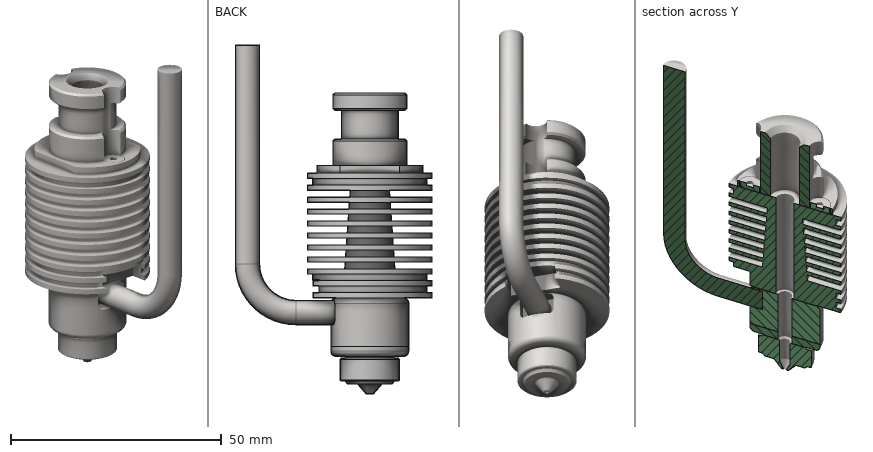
import cadquery as cq
import math


total_height = 82.6
total_width = 46.7

orifice_radius = 0.25
tip_radius = 0.9
cone_radius = 2.9
cone_top = 2.3
step_bottom_radius = 5.3
step_top_radius = 5.8
nozzle_bottom = 3.0
nozzle_top = 8.4
nozzle_radius = 7.0
nozzle_edge_chamfer = 0.25
nozzle_bore_radius = 1.3
nozzle_bore_bottom = 2.3

block_radius = 9.25
block_edge_fillet = 1.3
lid_bottom = 8.8
lid_top = 11.15
block_bore_radius = 1.7

recess_floor_x = 5.8
recess_width = 8.3
recess_corner_radius = 1.2

sink_bottom = 22.7
sink_height = 29.6
fin_count = 11
fin_thickness = 1.2
fin_pitch = (sink_height - fin_thickness) / (fin_count - 1)
fin_radius = 14.8
groove_radius = 13.55
core_top_radius = 4.4
core_bottom_radius = 6.45
sink_bore_radius = 2.3
upper_groove_count = 1
lower_groove_count = 2
sink_top = sink_bottom + sink_height

slot_width = 12.2
slot_top = 27.0
slot_inner_x = block_radius

plate_top = 54.1
plate_radius = 12.55
plate_flat_distance = 20.7
collar_radius = 9.2
collar_edge_chamfer = 0.5
collar_top = 60.4
neck_radius = 6.85
flange_bottom = 67.2
mount_top = 71.3
mount_bore_radius = 3.7
mount_bore_chamfer = 1.3

screw_offset = 9.2
screw_head_radius = 2.6
screw_hole_radius = 2.7
socket_across_flats = 1.7
socket_depth = 0.8

cable_radius = 2.9
cable_bend_radius = 11.5
cable_run_height = 19.25
cable_x = total_width - fin_radius - cable_radius


def cylinder(radius, bottom, top):
    return cq.Workplane("XY").workplane(offset=bottom).circle(radius).extrude(top - bottom)


def cone(bottom_radius, top_radius, bottom, top):
    solid = cq.Solid.makeCone(bottom_radius, top_radius, top - bottom, cq.Vector(0, 0, bottom))
    return cq.Workplane(obj=solid)


def fin_bottom(index):
    return sink_bottom + index * fin_pitch


def build_nozzle():
    head = cylinder(nozzle_radius, nozzle_bottom, nozzle_top).edges().chamfer(nozzle_edge_chamfer)
    neck = cylinder(step_top_radius, nozzle_top, lid_bottom)
    step = cone(step_bottom_radius, step_top_radius, cone_top, nozzle_bottom)
    tip = cone(tip_radius, cone_radius, 0, cone_top)
    nozzle = head.union(neck).union(step).union(tip)

    bore = cylinder(nozzle_bore_radius, nozzle_bore_bottom, lid_bottom)
    bore_end = cone(orifice_radius, nozzle_bore_radius, 0, nozzle_bore_bottom)
    mouth_depth = block_bore_radius - nozzle_bore_radius
    bore_mouth = cone(nozzle_bore_radius, block_bore_radius, lid_bottom - mouth_depth, lid_bottom)
    return nozzle.cut(bore).cut(bore_end).cut(bore_mouth)


def build_lid():
    lid = cylinder(block_radius, lid_bottom, lid_top).faces("<Z").edges().fillet(block_edge_fillet)
    return lid.cut(cylinder(block_bore_radius, lid_bottom, lid_top))


def build_cable():
    bend_start_x = cable_x - cable_bend_radius
    bend_end_z = cable_run_height + cable_bend_radius
    diagonal = cable_bend_radius * math.sqrt(0.5)
    path = (
        cq.Workplane("XZ")
        .moveTo(recess_floor_x, cable_run_height)
        .lineTo(bend_start_x, cable_run_height)
        .threePointArc((bend_start_x + diagonal, bend_end_z - diagonal), (cable_x, bend_end_z))
        .lineTo(cable_x, total_height)
    )
    start = cq.Workplane("YZ", origin=(recess_floor_x, 0, cable_run_height))
    return start.circle(cable_radius).sweep(path)


def build_cable_recess():
    return (
        cq.Workplane("XY")
        .box(block_radius - recess_floor_x, recess_width, 2 * cable_radius, centered=(False, True, True))
        .edges("|X")
        .fillet(recess_corner_radius)
        .translate((recess_floor_x, 0, cable_run_height))
    )


def build_block():
    block = cylinder(block_radius, lid_top, sink_bottom).faces(">Z").edges().fillet(block_edge_fillet)
    return block.cut(cylinder(block_bore_radius, lid_top, sink_bottom)).cut(build_cable_recess())


def build_heat_sink():
    sink = cone(core_bottom_radius, core_top_radius, sink_bottom, sink_top)
    for index in range(fin_count):
        bottom = fin_bottom(index)
        sink = sink.union(cylinder(fin_radius, bottom, bottom + fin_thickness))

    sink = sink.union(cylinder(groove_radius, sink_bottom, fin_bottom(lower_groove_count)))
    sink = sink.union(cylinder(groove_radius, fin_bottom(fin_count - 1 - upper_groove_count), sink_top))

    slot = cq.Workplane("XY").box(
        fin_radius - slot_inner_x, slot_width, slot_top - sink_bottom, centered=(False, True, False)
    ).translate((slot_inner_x, 0, sink_bottom))
    return sink.cut(slot).cut(cylinder(sink_bore_radius, sink_bottom, sink_top))


def build_mount():
    across_flats = cq.Workplane("XY").box(
        2 * plate_radius, plate_flat_distance, plate_top - sink_top, centered=(True, True, False)
    ).translate((0, 0, sink_top))
    plate = cylinder(plate_radius, sink_top, plate_top).intersect(across_flats)
    collar = cylinder(collar_radius, plate_top, collar_top).faces(">Z").edges().chamfer(collar_edge_chamfer)
    neck = cylinder(neck_radius, collar_top, flange_bottom)
    flange = cylinder(collar_radius, flange_bottom, mount_top).edges().chamfer(collar_edge_chamfer)
    mount = plate.union(collar).union(neck).union(flange)

    mount = mount.cut(cylinder(mount_bore_radius, sink_top, mount_top))
    mouth_radius = mount_bore_radius + mount_bore_chamfer
    mount = mount.cut(cone(mount_bore_radius, mouth_radius, mount_top - mount_bore_chamfer, mount_top))

    for side in (-1, 1):
        hole = cylinder(screw_hole_radius, sink_top, mount_top)
        mount = mount.cut(hole.translate((side * screw_offset, 0, 0)))
    return mount


def build_screw(side):
    head = cylinder(screw_head_radius, sink_top, plate_top)
    socket_diameter = socket_across_flats / math.cos(math.pi / 6)
    socket = (
        cq.Workplane("XY")
        .workplane(offset=plate_top - socket_depth)
        .transformed(rotate=(0, 0, 90))
        .polygon(6, socket_diameter)
        .extrude(socket_depth)
    )
    return head.cut(socket).translate((side * screw_offset, 0, 0))


nozzle = build_nozzle()
lid = build_lid()
cable = build_cable()
block = build_block()
heat_sink = build_heat_sink()
mount = build_mount()
screws = [build_screw(side) for side in (-1, 1)]

result = cq.Compound.makeCompound([
    nozzle.val(),
    lid.val(),
    cable.val(),
    block.val(),
    heat_sink.val(),
    mount.val(),
    *[screw.val() for screw in screws],
])